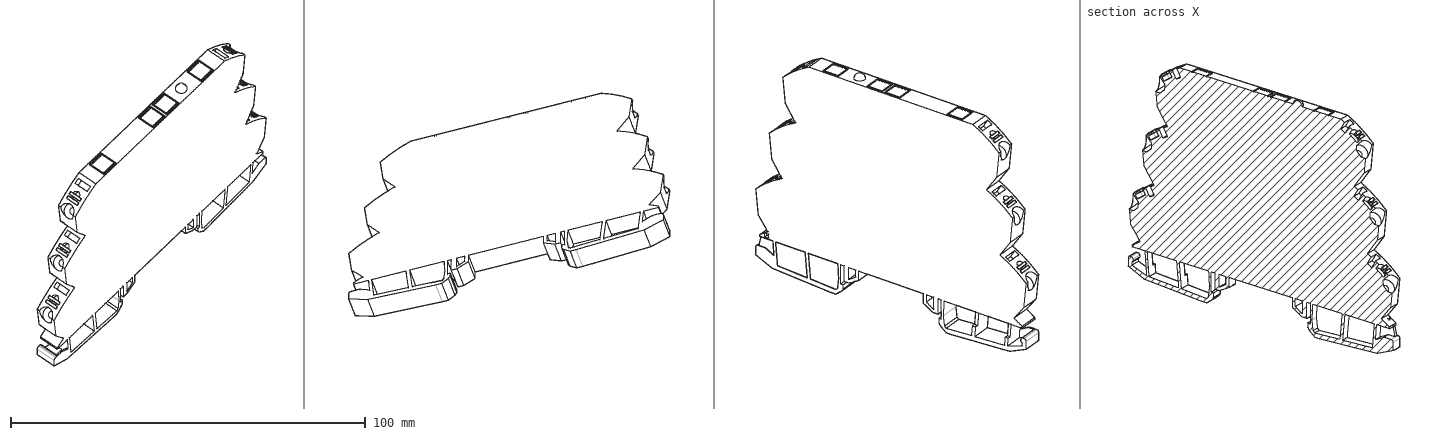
import cadquery as cq
import math

thickness = 6.2
half_thickness = thickness / 2

tier_count = 3
tier_step_out = 4.65
tier_pitch = 19.7
body_height = 60.9
top_half_length = 28.2
shoulder_run = 9.0
shoulder_drop = 6.3
shoulder_radius = 35.4
flank_run = 0.8
flank_drop = 8.2
lip_root = (42.3, 2.4)
lip_tip = (45.1, 0.65)

slot_width = 4.5
slot_length = 1.7
slot_depth = 2.8
slot_offset = 2.3
release_width = 2.2
release_length = 3.35
release_depth = 1.9
release_offset = 6.3
bar_offset = 6.9
bar_width = 3.9
bar_length = 0.8
bar_spacing = 1.4
bar_rise = 0.2
bar_thickness = 0.7
entry_radius = 2.2
entry_depth = 2.8
entry_end_radius = 1.0
entry_taper_depth = 1.1

tile_centres = [21.2, 6.05, 0.0, -21.5]
tile_length = 5.2
tile_width = 5.5
tile_end_gap = 0.2
tile_side_gap = 0.5
tile_groove_depth = 0.3
indicator_y = 12.9
indicator_radius = 1.7
indicator_rise = 1.5

rib_step_height = -4.8
rib_setback = 1.0
plate_setback = 0.2
plate_thickness = 0.9
hook_web_thickness = 0.5
hook_top_middle = (45.7, -3.1)
hook_round = 0.7
lip_pocket_size = 1.3
lip_pocket_depth = 1.0
lip_pocket_centre = (42.8, 1.1)


def prism(points, side, x_start=-half_thickness, x_end=half_thickness):
    """Extrude a closed profile along X, on the +Y (1) or -Y (-1) side."""
    profile = [(side * out, height) for out, height in points]
    plane = cq.Workplane("YZ", origin=(x_start, 0, 0))
    return plane.polyline(profile).close().extrude(x_end - x_start)


chord = math.hypot(shoulder_run, shoulder_drop)
chord_slope = math.atan2(shoulder_drop, shoulder_run)
half_sweep = math.asin(chord / 2 / shoulder_radius)


def shoulder_point(arc_length):
    """Offset from the upper corner, and downward slope, at a length along the shoulder."""
    start_slope = chord_slope - half_sweep
    slope = start_slope + arc_length / shoulder_radius
    out = shoulder_radius * (math.sin(slope) - math.sin(start_slope))
    rise = shoulder_radius * (math.cos(slope) - math.cos(start_slope))
    return out, rise, slope


shoulder_length = 2 * half_sweep * shoulder_radius


def tier_corner(tier):
    """Upper corner of a tier's shoulder, counted from the top."""
    return top_half_length + tier * tier_step_out, body_height - tier * tier_pitch


def half_body(side):
    """Stepped housing body on one side of the middle."""
    outline = cq.Workplane("YZ", origin=(-half_thickness, 0, 0)).moveTo(0, 0).lineTo(0, body_height)
    for tier in range(tier_count):
        corner_out, corner_height = tier_corner(tier)
        mid_out, mid_rise, _ = shoulder_point(shoulder_length / 2)
        tip_out = corner_out + shoulder_run
        tip_height = corner_height - shoulder_drop
        outline = outline.lineTo(side * corner_out, corner_height)
        outline = outline.threePointArc(
            (side * (corner_out + mid_out), corner_height + mid_rise),
            (side * tip_out, tip_height),
        )
        outline = outline.lineTo(side * (tip_out - flank_run), tip_height - flank_drop)
    outline = outline.lineTo(side * lip_root[0], lip_root[1])
    outline = outline.lineTo(side * lip_tip[0], lip_tip[1]).lineTo(side * lip_tip[0], 0)
    return outline.close().extrude(thickness)


def shoulder_plane(tier, side, arc_length):
    """Plane tangent to a shoulder: local x along X, local z outwards."""
    corner_out, corner_height = tier_corner(tier)
    out, rise, slope = shoulder_point(arc_length)
    return cq.Workplane(
        cq.Plane(
            origin=(0, side * (corner_out + out), corner_height + rise),
            xDir=(1, 0, 0),
            normal=(0, side * math.sin(slope), math.cos(slope)),
        )
    )


def add_terminal(body, tier, side):
    """Add the marker slot, barred release opening and tapered wire entry to one shoulder."""
    slot_plane = shoulder_plane(tier, side, slot_offset)
    slot = slot_plane.rect(slot_width, slot_length).extrude(slot_depth, both=True)

    release_plane = shoulder_plane(tier, side, release_offset)
    release = release_plane.slot2D(release_length, release_width, 90).extrude(release_depth, both=True)
    bar_plane = shoulder_plane(tier, side, bar_offset).workplane(offset=bar_rise - bar_thickness)
    bars = bar_plane.rarray(0.9, bar_spacing, 1, 2).rect(bar_width, bar_length).extrude(bar_thickness)

    entry_plane = shoulder_plane(tier, side, shoulder_length)
    entry = entry_plane.circle(entry_radius).extrude(entry_depth, both=True)
    taper_plane = entry_plane.workplane(offset=-entry_depth)
    taper = (
        taper_plane.circle(entry_radius)
        .workplane(offset=-entry_taper_depth)
        .circle(entry_end_radius)
        .loft()
    )
    return body.cut(slot).cut(release).union(bars).cut(entry.union(taper))


def tile_groove(centre_y):
    """Shallow frame-shaped groove around one label tile."""
    plane = cq.Workplane("XY", origin=(0, centre_y, body_height))
    outer = plane.rect(tile_width, tile_length).extrude(-tile_groove_depth)
    inner = plane.rect(tile_width - 2 * tile_side_gap, tile_length - 2 * tile_end_gap)
    return outer.cut(inner.extrude(-tile_groove_depth))


spring_hook = [(11.1, 0), (11.1, -3.1), (14.4, -5.0), (16.2, -5.0), (16.2, 0)]
spring_hook_window = [(12.2, 0), (12.2, -2.3), (14.6, -3.9), (14.6, 0)]
foot_outline = [
    (17.3, 0), (17.3, -6.2), (16.5, -6.2), (16.5, -7.6), (17.0, -8.6), (19.0, -10.1),
    (20.75, -10.1), (40.85, -8.9), (46.5, -6.4), (46.5, -3.1), (44.9, -3.1), (44.6, -4.1), (45.1, -4.8),
    (45.1, -5.7), (40.1, -7.4), (40.7, 0),
]
inner_window = [(18.3, 0), (18.1, -4.8), (18.4, -8.1), (19.0, -8.7), (27.7, -8.1), (28.5, 0)]
outer_window = [(29.6, 0), (28.85, -8.1), (39.1, -7.5), (39.7, 0)]
hook_web = [(40.1, -7.4), (40.3, -4.65), (43.3, -3.1), (45.6, -3.1), (45.6, -5.7)]
end_plate = [(40.7, 0), (40.1, -7.4), (45.1, -5.7), (45.6, -3.1), (44.9, 0)]
rib_setback_zone = [(27.9, 0), (27.9, rib_step_height), (40.9, rib_step_height), (40.9, 0)]


def foot_frame(side):
    """Windowed rail foot with its hooked end, and the small spring hook beside it."""
    frame = prism(foot_outline, side)
    hook_top = cq.selectors.NearestToPointSelector((0, side * hook_top_middle[0], hook_top_middle[1]))
    frame = frame.faces(hook_top).edges("|X").fillet(hook_round)
    frame = frame.cut(prism(inner_window, side)).cut(prism(outer_window, side))
    spring = prism(spring_hook, side).cut(prism(spring_hook_window, side))
    return frame.union(spring)


def open_foot():
    """Foot on -Y: open windows, ribs set back from the -X face, hook web along the +X face."""
    setback_x = -half_thickness + rib_setback
    frame = foot_frame(-1).cut(prism(rib_setback_zone, -1, x_end=setback_x))
    return frame.union(prism(hook_web, -1, x_start=half_thickness - hook_web_thickness))


def closed_foot():
    """Foot on +Y: windows closed by a plate just behind the -X face."""
    plate_x = -half_thickness + plate_setback
    foot = foot_frame(1).union(prism(hook_web, 1))
    for panel in (inner_window, outer_window, end_plate):
        foot = foot.union(prism(panel, 1, plate_x, plate_x + plate_thickness))
    return foot


body = half_body(1).union(half_body(-1))
for side in (1, -1):
    for tier in range(tier_count):
        body = add_terminal(body, tier, side)
for centre_y in tile_centres:
    body = body.cut(tile_groove(centre_y))

indicator_z = body_height + indicator_rise - indicator_radius
indicator = cq.Workplane("XY", origin=(0, indicator_y, indicator_z)).sphere(indicator_radius)
body = body.union(indicator)

lip_pocket = (
    cq.Workplane("YZ", origin=(-half_thickness, 0, 0))
    .center(*lip_pocket_centre)
    .rect(lip_pocket_size, lip_pocket_size)
    .extrude(lip_pocket_depth)
)
body = body.cut(lip_pocket)

result = body.union(open_foot()).union(closed_foot())